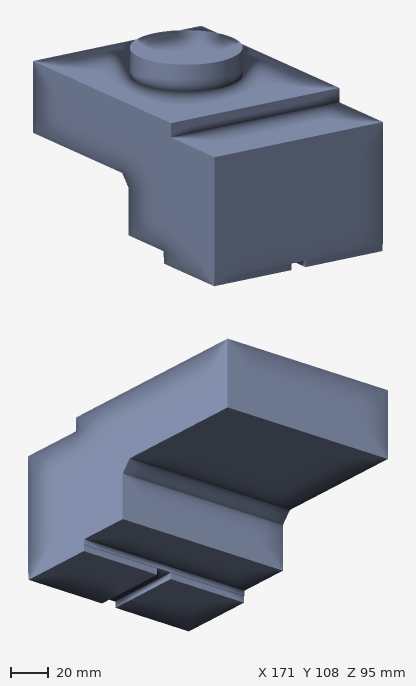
import cadquery as cq

length = 171.0
width = 108.0
height = 95.0

boss_diameter = 59.8
boss_height = 15.0

arm_thickness = 40.0
arm_top_length = 130.0
shelf_drop = 8.0

leg_start = 90.0
corner_run = 6.0
corner_rise = 6.7

foot_start = 123.0
foot_height = 6.8
pad_height = 3.8
pad_inset = 0.3
channel_width = 9.0

arm_top = height - boss_height
arm_bottom = arm_top - arm_thickness
shelf_top = arm_top - shelf_drop


def make_body():
    """Side outline of the arm, leg and upper foot, extruded across the width."""
    outline = [
        (0, arm_bottom),
        (0, arm_top),
        (arm_top_length, arm_top),
        (arm_top_length, shelf_top),
        (length, shelf_top),
        (length, pad_height),
        (foot_start, pad_height),
        (foot_start, foot_height),
        (leg_start, foot_height),
        (leg_start, arm_bottom - corner_rise),
        (leg_start - corner_run, arm_bottom),
    ]
    return cq.Workplane("XZ").polyline(outline).close().extrude(width / 2, both=True)


def make_boss():
    """Round boss centred on the full-height part of the top face."""
    return (
        cq.Workplane("XY", origin=(arm_top_length / 2, 0, arm_top))
        .circle(boss_diameter / 2)
        .extrude(boss_height)
    )


def make_pad(side):
    """Foot pad on one side of the channel, slightly inset at both ends."""
    pad_length = length - foot_start - 2 * pad_inset
    pad_width = (width - channel_width) / 2
    pad_center_x = (foot_start + length) / 2
    pad_center_y = side * (channel_width + pad_width) / 2
    return (
        cq.Workplane("XY", origin=(pad_center_x, pad_center_y, 0))
        .rect(pad_length, pad_width)
        .extrude(pad_height)
    )


result = make_body().union(make_boss())
for side in (-1, 1):
    result = result.union(make_pad(side))